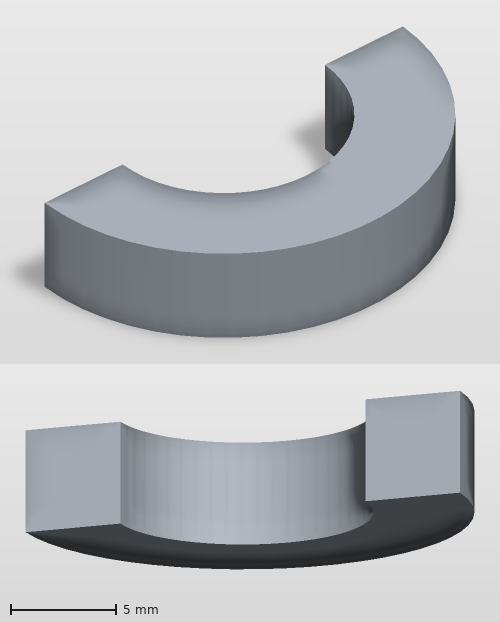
import cadquery as cq

outer_diameter = 22.0
inner_diameter = 12.4
thickness = 5.0

outer_radius = outer_diameter / 2
inner_radius = inner_diameter / 2

result = (
    cq.Workplane("XY")
    .moveTo(0, -outer_radius)
    .threePointArc((outer_radius, 0), (0, outer_radius))
    .lineTo(0, inner_radius)
    .threePointArc((inner_radius, 0), (0, -inner_radius))
    .close()
    .extrude(thickness)
)